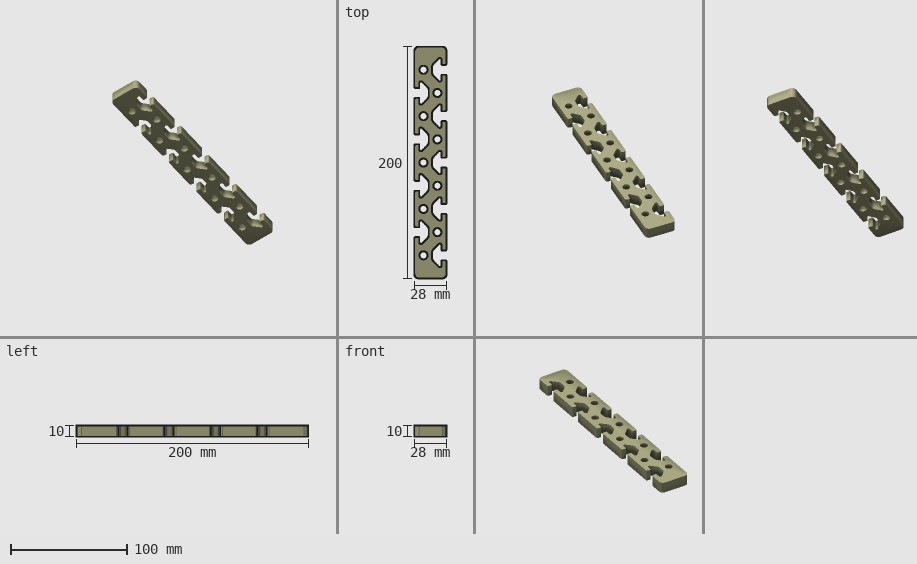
import cadquery as cq

WIDTH = 28.0
LENGTH = 200.0
THICKNESS = 10.0
CORNER_RADIUS = 4.0

SLOT_PITCH = 40.0
RIGHT_SLOT_COUNT = 5
LEFT_SLOT_COUNT = RIGHT_SLOT_COUNT - 1
HOLE_DIAMETER = 6.8
HOLE_OFFSET = 6.0

MOUTH_WIDTH = 8.2
LIP_THICKNESS = 4.5
SLOT_DEPTH = 12.5
CAVITY_WIDTH = 20.1
FLOOR_WIDTH = 8.1
SLOPE_RUN = (CAVITY_WIDTH - FLOOR_WIDTH) / 2
FLOOR_RADIUS = 4.0
CAVITY_RADIUS = 1.25
LIP_INNER_RADIUS = 0.75
LIP_OUTER_RADIUS = 1.5
MOUTH_OVERRUN = 1.0

EDGE_X = WIDTH / 2
LIP_X = EDGE_X - LIP_THICKNESS
FLOOR_X = EDGE_X - SLOT_DEPTH
SHOULDER_X = FLOOR_X + SLOPE_RUN


def row_positions(count):
    """Y positions of a row of evenly pitched features centred on the plate."""
    return [(i - (count - 1) / 2) * SLOT_PITCH for i in range(count)]


def make_plate():
    plate = cq.Workplane("XY").box(WIDTH, LENGTH, THICKNESS)
    return plate.edges("|Z").fillet(CORNER_RADIUS)


def round_edges(body, side, slot_y, edge_x, spacing, radius):
    """Fillet the two vertical edges lying symmetrically about a slot's centreline."""
    for direction in (1, -1):
        edge_middle = (side * edge_x, slot_y + direction * spacing / 2, 0)
        body = body.edges(cq.selectors.NearestToPointSelector(edge_middle)).fillet(radius)
    return body


def make_slot_cutter(side, slot_y):
    """T-slot void opening on the +X edge (side=1) or the -X edge (side=-1)."""
    upper_half = [
        (FLOOR_X, FLOOR_WIDTH / 2),
        (SHOULDER_X, CAVITY_WIDTH / 2),
        (LIP_X, CAVITY_WIDTH / 2),
        (LIP_X, MOUTH_WIDTH / 2),
        (EDGE_X + MOUTH_OVERRUN, MOUTH_WIDTH / 2),
    ]
    lower_half = [(x, -y) for x, y in reversed(upper_half)]
    outline = [(side * x, slot_y + y) for x, y in upper_half + lower_half]
    cutter = cq.Workplane("XY").polyline(outline).close().extrude(THICKNESS / 2, both=True)
    cutter = round_edges(cutter, side, slot_y, FLOOR_X, FLOOR_WIDTH, FLOOR_RADIUS)
    cutter = round_edges(cutter, side, slot_y, SHOULDER_X, CAVITY_WIDTH, CAVITY_RADIUS)
    cutter = round_edges(cutter, side, slot_y, LIP_X, CAVITY_WIDTH, CAVITY_RADIUS)
    return round_edges(cutter, side, slot_y, LIP_X, MOUTH_WIDTH, LIP_INNER_RADIUS)


def cut_slot(plate, side, slot_y):
    """Cut one T-slot and round the outer corners of its lips."""
    plate = plate.cut(make_slot_cutter(side, slot_y))
    return round_edges(plate, side, slot_y, EDGE_X, MOUTH_WIDTH, LIP_OUTER_RADIUS)


def drill_hole(plate, side, slot_y):
    """Drill the through hole beside a slot, in the opposite half of the plate."""
    hole = cq.Workplane("XY").center(-side * HOLE_OFFSET, slot_y).circle(HOLE_DIAMETER / 2)
    return plate.cut(hole.extrude(THICKNESS / 2, both=True))


result = make_plate()
for side, count in ((1, RIGHT_SLOT_COUNT), (-1, LEFT_SLOT_COUNT)):
    for slot_y in row_positions(count):
        result = cut_slot(result, side, slot_y)
        result = drill_hole(result, side, slot_y)